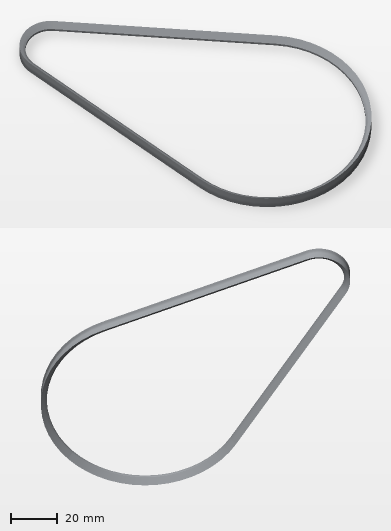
import cadquery as cq
import math

length = 158.0
width = 89.0
small_radius = 13.3
thickness = 2.5
outer_height = 6.0
inner_height = 1.18

large_radius = width / 2
small_center_x = small_radius - length / 2
large_center_x = length / 2 - large_radius
center_distance = large_center_x - small_center_x

normal_angle = math.acos((small_radius - large_radius) / center_distance)


def point_on_end(center_x, radius, angle):
    """Point on an end circle at an angle from +X."""
    return (center_x + radius * math.cos(angle), radius * math.sin(angle))


def outer_path():
    """Teardrop of both end circles and their common tangents, starting at the +X end."""
    return (
        cq.Workplane("XY")
        .moveTo(large_center_x + large_radius, 0)
        .threePointArc(
            point_on_end(large_center_x, large_radius, normal_angle / 2),
            point_on_end(large_center_x, large_radius, normal_angle),
        )
        .lineTo(*point_on_end(small_center_x, small_radius, normal_angle))
        .threePointArc(
            (small_center_x - small_radius, 0),
            point_on_end(small_center_x, small_radius, -normal_angle),
        )
        .lineTo(*point_on_end(large_center_x, large_radius, -normal_angle))
        .threePointArc(
            point_on_end(large_center_x, large_radius, -normal_angle / 2),
            (large_center_x + large_radius, 0),
        )
        .close()
    )


outer_x = large_center_x + large_radius
inner_x = outer_x - thickness
taper = (outer_height - inner_height) / 2
section = cq.Workplane("XZ").polyline(
    [
        (outer_x, 0),
        (outer_x, outer_height),
        (inner_x, outer_height - taper),
        (inner_x, taper),
    ]
).close()

result = section.sweep(outer_path())